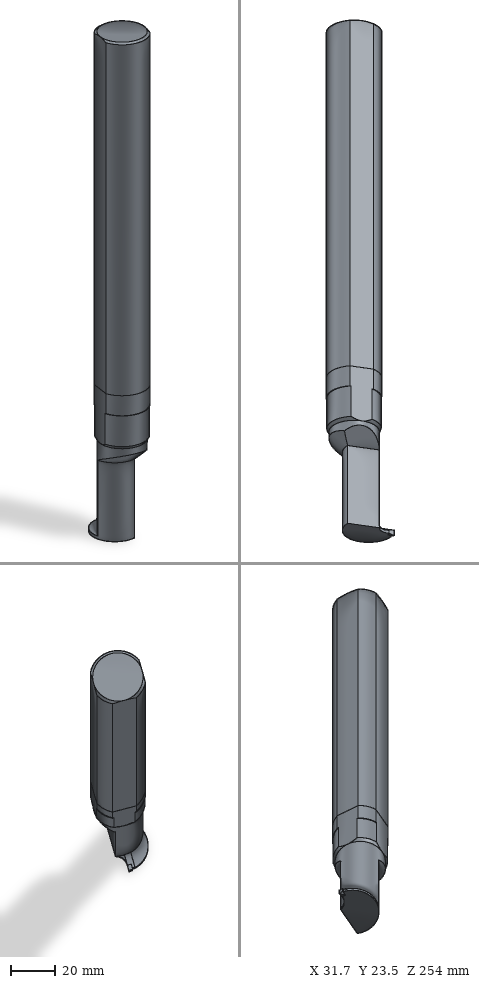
import cadquery as cq
import math

bar_radius = 12.7
flat_distance = 11.5
total_height = 254.0
joint_z = 77.2
top_chamfer_height = 0.8

step_z = 67.0
step_radius = 12.5
collar_bottom_z = 50.0
collar_chamfer_height = 1.5

stem_radius = flat_distance
eccentric_x = -6.9
eccentric_radius = 12.0
neck_flat_y = 4.0
neck_top_z = 40.5
neck_flare = 10.2

plate_bottom_z = 0.8
plate_top_z = 2.3
plate_end_y = -3.0
gullet_mid_x = -13.2
gullet_mid_y = 0.8
rib_height = 0.5
rib_top_z = plate_top_z + rib_height

seam_x = (stem_radius**2 - eccentric_radius**2 + eccentric_x**2) / (2 * eccentric_x)
gullet_end_x = -math.sqrt(stem_radius**2 - neck_flat_y**2)

tip_x = -19.0
tip_length = 2.5
tip_width = 1.8
tip_back_x = tip_x + tip_length


def flatted_bar(radius, bottom_z, top_z):
    """Round bar on the Z axis with its three flats."""
    height = top_z - bottom_z
    bar = cq.Workplane("XY").workplane(offset=bottom_z).circle(radius).extrude(height)
    envelope = (
        cq.Workplane("XY").workplane(offset=bottom_z)
        .center(radius - flat_distance, 0)
        .rect(2 * radius, 2 * flat_distance)
        .extrude(height)
    )
    return bar.intersect(envelope)


def cone(bottom_radius, top_radius, bottom_z, height, x=0):
    """Truncated cone with a vertical axis at the given X."""
    return cq.Workplane(cq.Solid.makeCone(
        bottom_radius, top_radius, height, cq.Vector(x, 0, bottom_z)))


def make_shank():
    """Long shank whose conical chamfer ends in a circle touching the flats."""
    chamfer_z = total_height - top_chamfer_height
    straight = flatted_bar(bar_radius, joint_z, chamfer_z)
    end = flatted_bar(bar_radius, chamfer_z, total_height).intersect(
        cone(bar_radius, flat_distance, chamfer_z, top_chamfer_height))
    return straight.union(end)


def make_collar():
    """Head end that meets the shank, stepped and chamfered down to the stem."""
    chamfer_top_z = collar_bottom_z + collar_chamfer_height
    upper = flatted_bar(bar_radius, step_z, joint_z)
    lower = flatted_bar(step_radius, chamfer_top_z, step_z)
    end = flatted_bar(step_radius, collar_bottom_z, chamfer_top_z).intersect(
        cone(stem_radius, step_radius, collar_bottom_z, collar_chamfer_height))
    return upper.union(lower).union(end)


def neck_flat_side():
    """Space on the -Y side of the neck flat, leaning out at 45 degrees above it."""
    flare_top_z = neck_top_z + neck_flare
    reach = 2 * eccentric_radius
    return (
        cq.Workplane("YZ")
        .moveTo(-reach, plate_bottom_z)
        .lineTo(neck_flat_y, plate_bottom_z)
        .lineTo(neck_flat_y, neck_top_z)
        .lineTo(neck_flat_y + neck_flare, flare_top_z)
        .lineTo(-reach, flare_top_z)
        .close()
        .extrude(reach, both=True)
    )


def make_neck():
    """Eccentric neck that flares at 45 degrees into the full round stem."""
    stem = (
        cq.Workplane("XY").workplane(offset=plate_bottom_z)
        .circle(stem_radius).extrude(collar_bottom_z - plate_bottom_z)
    )
    straight = (
        cq.Workplane("XY").workplane(offset=plate_bottom_z)
        .center(eccentric_x, 0)
        .circle(eccentric_radius).extrude(neck_top_z - plate_bottom_z)
    )
    flare = cone(eccentric_radius, eccentric_radius + neck_flare, neck_top_z, neck_flare, eccentric_x)
    return stem.intersect(straight.union(flare)).intersect(neck_flat_side())


def plate_edge(angle):
    """Point on the plate's curved edge; angle in radians from +X."""
    return (eccentric_x + eccentric_radius * math.cos(angle), eccentric_radius * math.sin(angle))


def make_plate():
    """Crescent plate with a raised rib behind the cutting tip."""
    nose_angle = math.pi - math.asin(plate_end_y / eccentric_radius)
    heel_angle = 2 * math.pi - math.acos((seam_x - eccentric_x) / eccentric_radius)
    nose = plate_edge(nose_angle)
    plate = (
        cq.Workplane("XY").workplane(offset=plate_bottom_z)
        .moveTo(tip_back_x, 0)
        .lineTo(nose[0], 0)
        .lineTo(*nose)
        .threePointArc(plate_edge((nose_angle + heel_angle) / 2), plate_edge(heel_angle))
        .lineTo(seam_x, neck_flat_y)
        .lineTo(gullet_end_x, neck_flat_y)
        .threePointArc((gullet_mid_x, gullet_mid_y), (tip_back_x, 0))
        .close()
        .extrude(plate_top_z - plate_bottom_z)
    )
    rib = (
        cq.Workplane("XY").workplane(offset=plate_top_z)
        .moveTo(nose[0], plate_end_y)
        .lineTo(seam_x, plate_end_y)
        .lineTo(seam_x, 0)
        .lineTo(nose[0], 0)
        .close()
        .extrude(rib_height)
    )
    return plate.union(rib)


def make_tip():
    """Small cutting tip whose bottom rises away from its outer corner."""
    length_profile = (
        cq.Workplane("XZ")
        .moveTo(tip_x, 0)
        .lineTo(tip_back_x, plate_bottom_z)
        .lineTo(tip_back_x, rib_top_z)
        .lineTo(tip_x, rib_top_z)
        .close()
        .extrude(tip_width)
    )
    width_profile = (
        cq.Workplane("YZ").workplane(offset=tip_x)
        .moveTo(0, 0)
        .lineTo(-tip_width, plate_bottom_z)
        .lineTo(-tip_width, rib_top_z)
        .lineTo(0, rib_top_z)
        .close()
        .extrude(tip_length)
    )
    return length_profile.intersect(width_profile)


def make_head(tip):
    """Collar, neck and plate in one solid, with a seat for the tip."""
    return make_collar().union(make_neck()).union(make_plate()).cut(tip)


shank = make_shank()
tip = make_tip()
head = make_head(tip)

result = cq.Compound.makeCompound([shank.solids().val(), head.solids().val(), tip.solids().val()])